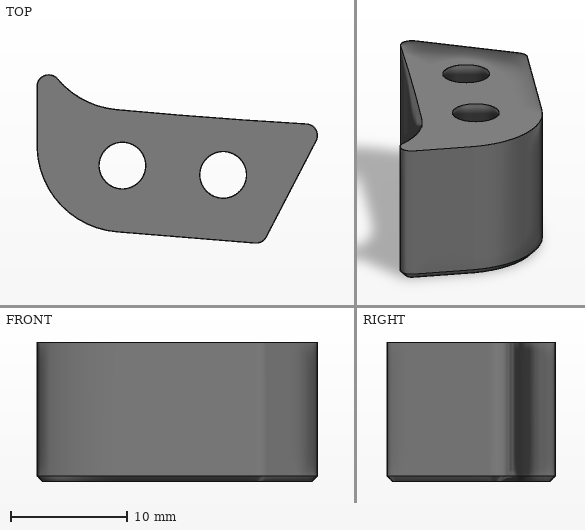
import cadquery as cq
import math

LENGTH = 24.14
WIDTH = 14.5
HEIGHT = 12.0
CHAMFER = 0.5

CORNER_RADIUS = 1.0
BEND_RADIUS = 7.5
BACK_SWEEP_RADIUS = 480.0

BACK_START_SLOPE = math.radians(5.3)
FRONT_SLOPE = math.radians(4.65)
LEFT_SIDE_END_Y = 8.14
FRONT_CORNER_X = 18.85
BACK_BEND_X = 7.5

HOLE_DIAMETER = 4.0
HOLE_CENTERS = [(7.35, 6.68), (16.02, 5.88)]


def toward(start, end, distance):
    """Point at a distance from start, along the line to end."""
    ratio = distance / math.dist(start, end)
    return (
        start[0] + (end[0] - start[0]) * ratio,
        start[1] + (end[1] - start[1]) * ratio,
    )


def offset(point, distance, direction):
    """Point moved by a distance along a unit direction."""
    return (point[0] + distance * direction[0], point[1] + distance * direction[1])


def arc_middle(center, start, end):
    """Middle point of the shorter arc about center from start to end."""
    chord_middle = ((start[0] + end[0]) / 2, (start[1] + end[1]) / 2)
    return toward(center, chord_middle, math.dist(center, start))


def arc_to(sketch, center, start, end):
    """Continue the outline from start to end on an arc about center."""
    return sketch.threePointArc(arc_middle(center, start, end), end)


def make_outline():
    tip_center = (CORNER_RADIUS, WIDTH - CORNER_RADIUS)
    tip_start = (0, tip_center[1])
    tip_top = (tip_center[0], WIDTH)
    bend_reach = BEND_RADIUS + CORNER_RADIUS
    bend_rise = math.sqrt(bend_reach**2 - (BACK_BEND_X - tip_center[0]) ** 2)
    back_bend_center = (BACK_BEND_X, tip_center[1] + bend_rise)
    tip_end = toward(tip_center, back_bend_center, CORNER_RADIUS)

    back_normal = (math.sin(BACK_START_SLOPE), math.cos(BACK_START_SLOPE))
    sweep_start = offset(back_bend_center, -BEND_RADIUS, back_normal)
    sweep_center = offset(sweep_start, BACK_SWEEP_RADIUS, back_normal)

    back_corner_x = LENGTH - CORNER_RADIUS
    sweep_reach = BACK_SWEEP_RADIUS + CORNER_RADIUS
    sweep_drop = math.sqrt(sweep_reach**2 - (sweep_center[0] - back_corner_x) ** 2)
    back_corner = (back_corner_x, sweep_center[1] - sweep_drop)
    sweep_end = toward(back_corner, sweep_center, CORNER_RADIUS)

    front_corner = (FRONT_CORNER_X, CORNER_RADIUS)
    side_run = back_corner[0] - front_corner[0]
    side_rise = back_corner[1] - front_corner[1]
    side_length = math.hypot(side_run, side_rise)
    side_normal = (side_rise / side_length, -side_run / side_length)
    side_start = offset(back_corner, CORNER_RADIUS, side_normal)
    side_end = offset(front_corner, CORNER_RADIUS, side_normal)
    back_corner_tip = (LENGTH, back_corner[1])

    front_normal = (-math.sin(FRONT_SLOPE), -math.cos(FRONT_SLOPE))
    front_start = offset(front_corner, CORNER_RADIUS, front_normal)
    front_end_x = BEND_RADIUS * (1 - math.sin(FRONT_SLOPE))
    front_end_y = front_start[1] + (front_start[0] - front_end_x) * math.tan(FRONT_SLOPE)
    front_end = (front_end_x, front_end_y)
    left_end = (0, LEFT_SIDE_END_Y)

    outline = cq.Workplane("XY").moveTo(*left_end).lineTo(*tip_start)
    outline = outline.threePointArc(tip_top, tip_end)
    outline = arc_to(outline, back_bend_center, tip_end, sweep_start)
    outline = arc_to(outline, sweep_center, sweep_start, sweep_end)
    outline = outline.threePointArc(back_corner_tip, side_start)
    outline = outline.lineTo(*side_end)
    outline = arc_to(outline, front_corner, side_end, front_start)
    outline = outline.lineTo(*front_end)
    return outline.radiusArc(left_end, BEND_RADIUS).close()


def make_body():
    body = make_outline().extrude(HEIGHT)
    return body.faces("<Z").chamfer(CHAMFER)


def make_holes():
    holes = cq.Workplane("XY").pushPoints(HOLE_CENTERS)
    return holes.circle(HOLE_DIAMETER / 2).extrude(HEIGHT)


result = make_body().cut(make_holes())